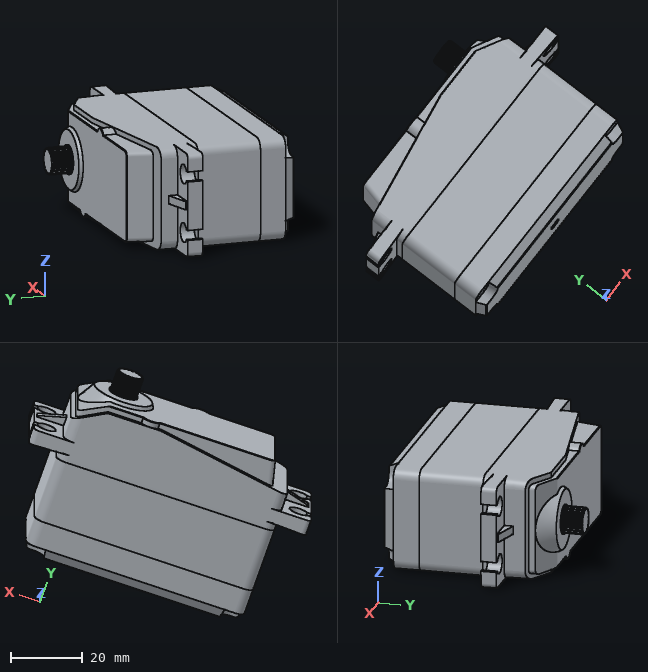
import cadquery as cq
import math


case_length = 64.8
case_width = 30.0
case_corner_radius = 3.0

pocket_height = 2.95
cover_top = 10.4
middle_top = 28.9
draft_start = 29.85
flange_top = 35.0
block_top = 47.9
boss_top = 48.95
shaft_top = 55.2

cover_slope_inset = 1.3
cover_edge_chamfer = 0.25
pocket_size = 6.3
pocket_draft = 8.0
dimple_radius = 1.8
dimple_floor_radius = 0.9
dimple_depth = 0.65

draft_angle = 0.8
roof_left_height = 39.85
roof_flat_height = 46.2
roof_flat_start = 7.3
roof_flat_end = 23.05
roof_right_height = 41.0

block_width = 26.4
block_corner_radius = 1.5
block_edge_chamfer = 0.2
block_left_top = -25.9
block_left_foot = -28.4
block_foot_height = 37.7
block_right = 31.1
block_shoulder_height = 43.7
lug_radius = 2.9
lug_center_z = 11.7
upper_lug_x = -3.9
lower_lug_x = 10.7

flange_length = 82.0
flange_corner_radius = 1.55
flange_tip_bottom = 30.6
flange_root_bottom = 31.1
flange_hole_radius = 2.8
flange_hole_x = 37.4
flange_hole_z = 8.45
flange_slot_width = 2.9
rib_width = 2.4
rib_tip_x = 40.2
rib_tip_height = 35.4
rib_root_height = 37.55

shaft_x = 19.4
boss_top_radius = 8.6
boss_cone_angle = 30.0
collar_radius = 4.2
collar_height = 0.25
spline_radius = 3.85
spline_root_radius = 3.45
spline_tooth_count = 18
spline_tip_share = 0.3
spline_chamfer_width = 0.25
spline_chamfer_height = 0.5

half_length = case_length / 2
half_width = case_width / 2

pocket_corner_radius = pocket_size - case_corner_radius


def plan(height):
    """Workplane across the Y axis at the given height; its axes are X and Z."""
    return cq.Workplane("XZ", origin=(0, height, 0))


def rounded_slab(length, width, radius, bottom, top, draft=0.0):
    """Rounded rectangle raised along Y; a positive draft narrows it upwards."""
    outline = cq.Sketch().rect(length, width).vertices().fillet(radius)
    return plan(bottom).placeSketch(outline).extrude(bottom - top, taper=draft)


def side_profile(points, width):
    """Closed X-Y outline extruded symmetrically across Z."""
    return cq.Workplane("XY").polyline(points).close().extrude(width / 2, both=True)


def make_bottom_cover():
    """Cover with sloped sides, a drafted pocket in each corner and a conical dimple."""
    cover = rounded_slab(case_length, case_width, case_corner_radius, pocket_height, cover_top)
    slope_angle = math.degrees(math.atan(cover_slope_inset / pocket_height))
    foot = plan(pocket_height).rect(case_length, case_width).extrude(pocket_height, taper=slope_angle)
    foot = foot.faces("<Y").chamfer(cover_edge_chamfer)
    corner_pocket = rounded_slab(
        2 * pocket_size, 2 * pocket_size, pocket_corner_radius, 0, pocket_height, pocket_draft
    )
    for x in (-half_length, half_length):
        for z in (-half_width, half_width):
            foot = foot.cut(corner_pocket.translate((x, 0, z)))
    dimple = cq.Workplane(
        cq.Solid.makeCone(
            dimple_radius, dimple_floor_radius, dimple_depth, cq.Vector(0, 0, 0), cq.Vector(0, 1, 0)
        )
    )
    return cover.union(foot).cut(dimple)


def make_middle_case():
    """Plain rounded block between the cover and the top case."""
    return rounded_slab(case_length, case_width, case_corner_radius, cover_top, middle_top)


def make_flanges():
    """Both flanges as one plate through the case, with open screw slots at the ends."""
    tip = flange_length / 2
    plate = side_profile(
        [
            (-tip, flange_top),
            (-tip, flange_tip_bottom),
            (-half_length + case_corner_radius, flange_root_bottom),
            (half_length - case_corner_radius, flange_root_bottom),
            (tip, flange_tip_bottom),
            (tip, flange_top),
        ],
        case_width,
    )
    draft_run = (flange_top - draft_start) * math.tan(math.radians(draft_angle))
    drafted_sides = (
        cq.Workplane("YZ")
        .polyline(
            [
                (draft_start, -half_width),
                (flange_top, -half_width + draft_run),
                (flange_top, half_width - draft_run),
                (draft_start, half_width),
            ]
        )
        .close()
        .extrude(tip, both=True)
    )
    plate = plate.intersect(drafted_sides)
    plate = plate.faces("<X or >X").edges("not |Z").fillet(flange_corner_radius)
    for side in (-1, 1):
        for z in (-flange_hole_z, flange_hole_z):
            hole = plan(flange_top).center(side * flange_hole_x, z).circle(flange_hole_radius)
            plate = plate.cut(hole.extrude(flange_top - middle_top))
            slot = plan(flange_top).center(side * tip, z)
            slot = slot.rect(2 * (tip - flange_hole_x), flange_slot_width)
            plate = plate.cut(slot.extrude(flange_top - middle_top))
    return plate


def make_ribs():
    """Sloped ribs that brace the flanges against both ends of the case."""
    root = half_length - case_corner_radius
    rib = side_profile(
        [
            (root, flange_top),
            (rib_tip_x, flange_top),
            (rib_tip_x, rib_tip_height),
            (half_length, rib_root_height),
            (root, rib_root_height),
        ],
        rib_width,
    )
    return rib.union(rib.mirror("YZ"))


def make_gear_block():
    """Narrower block on the roof, with two screw lugs bulging from its long sides."""
    block = side_profile(
        [
            (block_left_foot, block_foot_height),
            (block_left_top, block_top),
            (roof_flat_end, block_top),
            (block_right, block_shoulder_height),
            (block_right, block_foot_height),
        ],
        block_width,
    )
    end_corners = block.faces("<X or >X").edges("not |Z")
    block = end_corners.fillet(block_corner_radius)
    for x, z in ((upper_lug_x, lug_center_z), (lower_lug_x, -lug_center_z)):
        lug = plan(block_top).center(x, z).circle(lug_radius)
        block = block.union(lug.extrude(block_top - block_foot_height))
    return block.faces(">Y").chamfer(block_edge_chamfer)


def make_boss():
    """Cone around the shaft, sunk into the falling end of the gear block."""
    boss_height = boss_top - block_shoulder_height
    boss_foot_radius = boss_top_radius + boss_height * math.tan(math.radians(boss_cone_angle))
    return cq.Workplane(
        cq.Solid.makeCone(
            boss_foot_radius,
            boss_top_radius,
            boss_height,
            cq.Vector(shaft_x, block_shoulder_height, 0),
            cq.Vector(0, 1, 0),
        )
    )


def make_top_case():
    """Drafted shell under the pitched roof, with flanges, ribs, gear block and boss."""
    skirt = rounded_slab(case_length, case_width, case_corner_radius, middle_top, draft_start)
    shell = rounded_slab(
        case_length, case_width, case_corner_radius, draft_start, block_top, draft_angle
    )
    under_roof = side_profile(
        [
            (-half_length, middle_top),
            (-half_length, roof_left_height),
            (roof_flat_start, roof_flat_height),
            (roof_flat_end, roof_flat_height),
            (half_length, roof_right_height),
            (half_length, middle_top),
        ],
        case_width,
    )
    top_case = skirt.union(shell.intersect(under_roof))

    for part in (make_flanges(), make_ribs(), make_gear_block(), make_boss()):
        top_case = top_case.union(part)
    return top_case


def make_output_shaft():
    """Splined shaft standing on the boss, with a thin collar at its foot."""
    pitch = 2 * math.pi / spline_tooth_count
    points = []
    for tooth in range(spline_tooth_count):
        for radius, pitch_offset in ((spline_radius, 0.0), (spline_root_radius, 0.5)):
            for side in (-0.5, 0.5):
                angle = pitch * (tooth + pitch_offset + side * spline_tip_share) + math.pi / 2
                points.append((radius * math.cos(angle), radius * math.sin(angle)))
    height = shaft_top - boss_top
    teeth = plan(boss_top).center(shaft_x, 0).polyline(points).close().extrude(-height)
    envelope = plan(boss_top).center(shaft_x, 0).circle(spline_radius).extrude(-height)
    envelope = envelope.faces(">Y").chamfer(spline_chamfer_height, spline_chamfer_width)
    collar = plan(boss_top).center(shaft_x, 0).circle(collar_radius).extrude(-collar_height)
    return teeth.intersect(envelope).union(collar)


bottom_cover = make_bottom_cover()
middle_case = make_middle_case()
top_case = make_top_case()
output_shaft = make_output_shaft()

result = cq.Compound.makeCompound(
    [bottom_cover.val(), middle_case.val(), top_case.val(), output_shaft.val()]
)